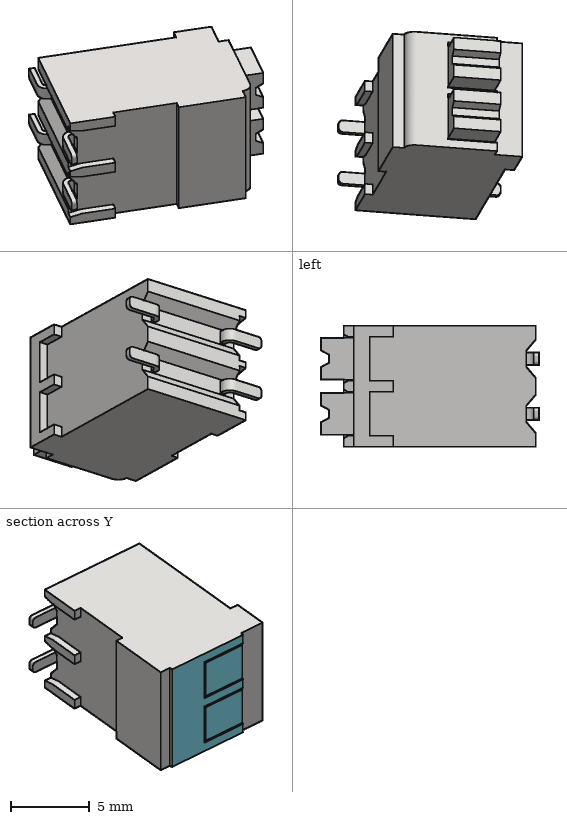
import cadquery as cq

POLE_PITCH = 3.5
POLE_LEVELS = (-POLE_PITCH / 2, POLE_PITCH / 2)
OPENING_HEIGHT = 2.8
HEIGHT = 7.7

LEFT_X = -3.65
RIGHT_X = 4.15
SHOULDER_Y = 11.55
BACK_Y = 12.2
BACK_LEFT_X = -2.48
BACK_RIGHT_X = 3.4
BACK_CORNER_RADIUS = BACK_Y - SHOULDER_Y

FRAME_DEPTH = 0.6
FRAME_FRONT_Y = 9.07
FRAME_RAIL_WIDTH = 1.0

RECESS_DEPTH = 0.5
RECESS_START_Y = 2.97
RECESS_END_Y = 7.14
RECESS_X = RIGHT_X - RECESS_DEPTH

CHANNEL_TAPER_LENGTH = 0.8
POCKET_TAPER_LENGTH = 0.25
TAPER_RISE = 0.15

GROOVE_DEPTH = 0.6
GROOVE_FLOOR_HEIGHT = 1.04
GROOVE_MOUTH_HEIGHT = 2.45

KEY_CLEARANCE = 0.07
KEY_HEIGHT = OPENING_HEIGHT - 2 * KEY_CLEARANCE
KEY_WIDTH = 3.03
KEY_LEFT_X = BACK_LEFT_X + KEY_CLEARANCE
KEY_BACK_Y = 13.65
KEY_NOTCH_DEPTH = 0.5
KEY_NOTCH_MOUTH = 1.05
KEY_NOTCH_FLOOR = 0.52

LEAD_SPAN = 10.5
LEAD_THICKNESS = 0.35
LEAD_WIDTH = 0.8
LEAD_FRONT_Y = -0.2
LEAD_STEM_X = 2.57
LEAD_BEND_RADIUS = 0.63
LEAD_TIP_RADIUS = 0.25
LEAD_EMBED = 0.4


def box(x_start, x_end, y_start, y_end, z_start, z_end):
    size = (x_end - x_start, y_end - y_start, z_end - z_start)
    return cq.Workplane("XY").box(*size, centered=False).translate((x_start, y_start, z_start))


def tall_box(x_start, x_end, y_start, y_end, level, height):
    """Box whose height is centred on the given Z level."""
    return box(x_start, x_end, y_start, y_end, level - height / 2, level + height / 2)


def profile_along_x(points, x_start, x_end):
    """Extrude a closed outline of (Y, Z) points between two X positions."""
    return cq.Workplane("YZ", origin=(x_start, 0, 0)).polyline(points).close().extrude(x_end - x_start)


def tapered_opening(mouth_y, throat_y, end_y, x_start, x_end, level):
    """Opening that narrows from its mouth to throat_y and runs straight on to end_y."""
    half_height = OPENING_HEIGHT / 2
    half_mouth = half_height + TAPER_RISE
    points = [
        (mouth_y, level - half_mouth),
        (throat_y, level - half_height),
        (end_y, level - half_height),
        (end_y, level + half_height),
        (throat_y, level + half_height),
        (mouth_y, level + half_mouth),
    ]
    return profile_along_x(points, x_start, x_end)


def tapered_groove(mouth_y, floor_y, mouth_height, floor_height, x_start, x_end, level):
    points = [
        (mouth_y, level - mouth_height / 2),
        (floor_y, level - floor_height / 2),
        (floor_y, level + floor_height / 2),
        (mouth_y, level + mouth_height / 2),
    ]
    return profile_along_x(points, x_start, x_end)


def housing_block():
    main = tall_box(LEFT_X, RIGHT_X, 0, SHOULDER_Y, 0, HEIGHT)
    back = (
        cq.Workplane("XY", origin=(0, 0, -HEIGHT / 2))
        .moveTo(BACK_LEFT_X, SHOULDER_Y)
        .lineTo(BACK_RIGHT_X, SHOULDER_Y)
        .radiusArc((BACK_RIGHT_X - BACK_CORNER_RADIUS, BACK_Y), -BACK_CORNER_RADIUS)
        .lineTo(BACK_LEFT_X, BACK_Y)
        .close()
        .extrude(HEIGHT)
    )
    recess = tall_box(RECESS_X, RIGHT_X, RECESS_START_Y, RECESS_END_Y, 0, HEIGHT)
    return main.union(back).cut(recess)


def left_frame():
    frame = tall_box(LEFT_X - FRAME_DEPTH, LEFT_X, FRAME_FRONT_Y, SHOULDER_Y, 0, HEIGHT)
    window_end_y = SHOULDER_Y - FRAME_RAIL_WIDTH
    for level in POLE_LEVELS:
        window = tall_box(LEFT_X - FRAME_DEPTH, LEFT_X, FRAME_FRONT_Y, window_end_y, level, OPENING_HEIGHT)
        frame = frame.cut(window)
    return frame


def front_groove(level):
    return tapered_groove(0, GROOVE_DEPTH, GROOVE_MOUTH_HEIGHT, GROOVE_FLOOR_HEIGHT, LEFT_X, RECESS_X, level)


def front_channel(level):
    """Channel on the right side from the front face into the recess."""
    return tapered_opening(0, CHANNEL_TAPER_LENGTH, RECESS_START_Y, RECESS_X, RIGHT_X, level)


def key_pocket(level):
    """Pocket in the back, open on its left side, with its floor at the shoulder."""
    pocket_end_x = KEY_LEFT_X + KEY_WIDTH + KEY_CLEARANCE
    throat_y = BACK_Y - POCKET_TAPER_LENGTH
    return tapered_opening(BACK_Y, throat_y, SHOULDER_Y, BACK_LEFT_X, pocket_end_x, level)


def key(level):
    right_x = KEY_LEFT_X + KEY_WIDTH
    block = tall_box(KEY_LEFT_X, right_x, SHOULDER_Y, KEY_BACK_Y, level, KEY_HEIGHT)
    floor_y = KEY_BACK_Y - KEY_NOTCH_DEPTH
    notch = tapered_groove(KEY_BACK_Y, floor_y, KEY_NOTCH_MOUTH, KEY_NOTCH_FLOOR, KEY_LEFT_X, right_x, level)
    return block.cut(notch)


def right_lead(level):
    """Lead that leaves the groove floor toward -Y and bends toward +X."""
    tip_x = LEAD_SPAN / 2
    bend_x = LEAD_STEM_X + LEAD_BEND_RADIUS
    bend_y = LEAD_FRONT_Y + LEAD_BEND_RADIUS
    inner_radius = LEAD_BEND_RADIUS - LEAD_THICKNESS
    root_y = GROOVE_DEPTH + LEAD_EMBED
    return (
        cq.Workplane("XY", origin=(0, 0, level - LEAD_WIDTH / 2))
        .moveTo(LEAD_STEM_X, root_y)
        .lineTo(LEAD_STEM_X, bend_y)
        .radiusArc((bend_x, LEAD_FRONT_Y), -LEAD_BEND_RADIUS)
        .lineTo(tip_x, LEAD_FRONT_Y)
        .lineTo(tip_x, LEAD_FRONT_Y + LEAD_THICKNESS)
        .lineTo(bend_x, LEAD_FRONT_Y + LEAD_THICKNESS)
        .radiusArc((LEAD_STEM_X + LEAD_THICKNESS, bend_y), inner_radius)
        .lineTo(LEAD_STEM_X + LEAD_THICKNESS, root_y)
        .close()
        .extrude(LEAD_WIDTH)
        .faces(">X")
        .edges("|Y")
        .fillet(LEAD_TIP_RADIUS)
    )


result = housing_block().union(left_frame())
for pole_level in POLE_LEVELS:
    result = result.cut(front_groove(pole_level))
    result = result.cut(front_channel(pole_level))
    result = result.cut(key_pocket(pole_level))
    result = result.union(key(pole_level))
    lead = right_lead(pole_level)
    result = result.union(lead).union(lead.mirror("YZ"))